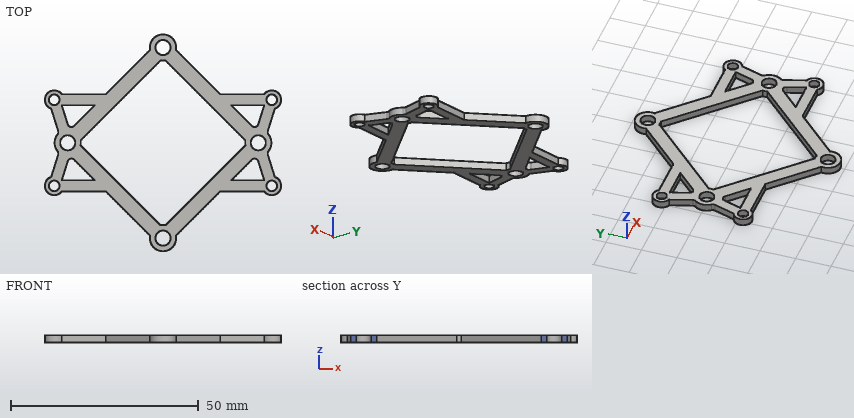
import cadquery as cq
import math

thickness = 2.0
frame_reach = 25.4
large_boss_radius = 3.5
large_hole_diameter = 4.0
frame_bar_width = 4.0
ear_x = 29.0
ear_y = 11.45
small_boss_radius = 2.5
small_hole_diameter = 2.8
arm_width = 3.0
window_fillet = 1.0
boss_fillet = 1.0

frame_points = [(frame_reach, 0), (0, frame_reach), (-frame_reach, 0), (0, -frame_reach)]
ear_points = [(sx * ear_x, sy * ear_y) for sx in (-1, 1) for sy in (-1, 1)]


def bar(start, end, width):
    """Flat bar whose centreline joins two points."""
    dx = end[0] - start[0]
    dy = end[1] - start[1]
    return (
        cq.Workplane("XY")
        .rect(math.hypot(dx, dy), width)
        .extrude(thickness)
        .rotate((0, 0, 0), (0, 0, 1), math.degrees(math.atan2(dy, dx)))
        .translate(((start[0] + end[0]) / 2, (start[1] + end[1]) / 2, 0))
    )


def discs(points, radius):
    return cq.Workplane("XY").pushPoints(points).circle(radius).extrude(thickness)


def fillet_corner(body, point, radius):
    """Round the vertical edge closest to a point."""
    target = cq.NearestToPointSelector((*point, thickness / 2))
    return body.edges("|Z").edges(target).fillet(radius)


plate = discs(frame_points, large_boss_radius)
for index, start in enumerate(frame_points):
    plate = plate.union(bar(start, frame_points[index - 1], frame_bar_width))

plate = plate.union(discs(ear_points, small_boss_radius))
for x, y in ear_points:
    side_x = math.copysign(frame_reach, x)
    arm_end_x = math.copysign(frame_reach - ear_y, x)
    plate = plate.union(bar((x, y), (arm_end_x, y), arm_width))
    plate = plate.union(bar((x, y), (side_x, 0), arm_width))

strut_length = math.hypot(ear_x - frame_reach, ear_y)
strut_x = (ear_x - frame_reach) / strut_length
strut_y = ear_y / strut_length
half_arm = arm_width / 2

boss_along = math.sqrt(large_boss_radius**2 - half_arm**2)
boss_corner_x = frame_reach + boss_along * strut_x + half_arm * strut_y
boss_corner_y = boss_along * strut_y - half_arm * strut_x

frame_offset = frame_bar_width / math.sqrt(2)
tip_along = (frame_offset + half_arm * (strut_y - strut_x)) / (strut_x + strut_y)
tip_x = frame_reach + tip_along * strut_x - half_arm * strut_y
tip_y = tip_along * strut_y + half_arm * strut_x
window_top = ear_y - half_arm
window_inner_x = frame_reach + frame_offset - window_top
window_outer_x = tip_x + (window_top - tip_y) * strut_x / strut_y
window_points = [(tip_x, tip_y), (window_inner_x, window_top), (window_outer_x, window_top)]


def window_prism(sx, sy):
    """Triangular prism of the window in the quadrant with the given signs."""
    points = [(sx * x, sy * y) for x, y in window_points]
    return cq.Workplane("XY").polyline(points).close().extrude(thickness)


for sx in (-1, 1):
    for sy in (-1, 1):
        plate = fillet_corner(plate, (sx * boss_corner_x, sy * boss_corner_y), boss_fillet)
        window = window_prism(sx, sy)
        plate = plate.union(window)
        plate = plate.cut(fillet_corner(window, (sx * tip_x, sy * tip_y), window_fillet))

plate = plate.cut(discs(frame_points, large_hole_diameter / 2))
result = plate.cut(discs(ear_points, small_hole_diameter / 2))